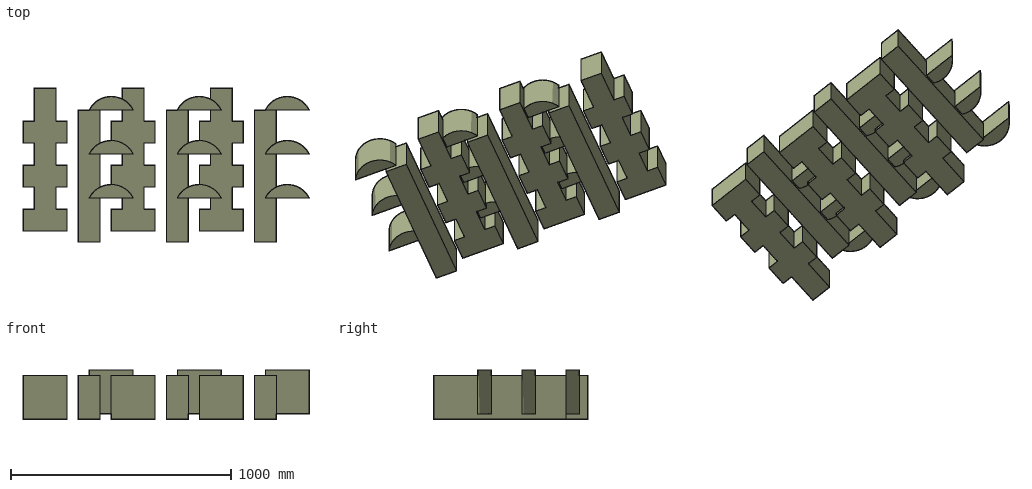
import cadquery as cq
import math

overall_length = 1300.0
module = overall_length / 26

column_count = 3
column_pitch = 8 * module
row_count = 3
row_pitch = 4 * module

block_height = 4 * module
crosspiece_length = 4 * module
crosspiece_width = 2 * module
spine_width = 2 * module
spine_length = 13 * module
spine_start_y = module

bar_width = 2 * module
bar_length = 12 * module
bar_start_x = 5 * module

segment_chord = 4 * module
arc_center_depth = module
arc_radius = math.hypot(segment_chord / 2, arc_center_depth)
segment_rise = arc_radius - arc_center_depth
segment_height = block_height
segment_start_x = bar_start_x + bar_width / 2
segment_start_y = 4 * module
segment_base_z = module / 2


def box_at(x, y, length, width):
    """Block standing on the ground with its low corner at (x, y)."""
    return cq.Workplane("XY").box(length, width, block_height, centered=False).translate((x, y, 0))


def make_spine(column):
    """Lengthwise spine with a row of wider crosspieces."""
    x = column * column_pitch
    spine = box_at(x + (crosspiece_length - spine_width) / 2, spine_start_y, spine_width, spine_length)
    for row in range(row_count):
        y = spine_start_y + row * row_pitch
        spine = spine.union(box_at(x, y, crosspiece_length, crosspiece_width))
    return spine


def make_segment(x, y):
    """Upright circular segment with its flat face toward -Y."""
    return (
        cq.Workplane("XY", origin=(x, y, segment_base_z))
        .threePointArc((segment_chord / 2, segment_rise), (segment_chord, 0))
        .close()
        .extrude(segment_height)
    )


def make_segmented_bar(column):
    """Straight bar with circular segments reaching out toward +X."""
    x = column * column_pitch
    bar = box_at(x + bar_start_x, 0, bar_width, bar_length)
    for row in range(row_count):
        y = segment_start_y + row * row_pitch
        bar = bar.union(make_segment(x + segment_start_x, y))
    return bar


def make_linked_pair(column):
    """Segmented bar joined through its segments to the spine of the next column."""
    return make_segmented_bar(column).union(make_spine(column + 1))


first_spine = make_spine(0)
linked_pairs = [make_linked_pair(column) for column in range(column_count - 1)]
last_bar = make_segmented_bar(column_count - 1)

result = cq.Compound.makeCompound(
    [first_spine.solids().val(), *[pair.solids().val() for pair in linked_pairs], last_bar.solids().val()]
)